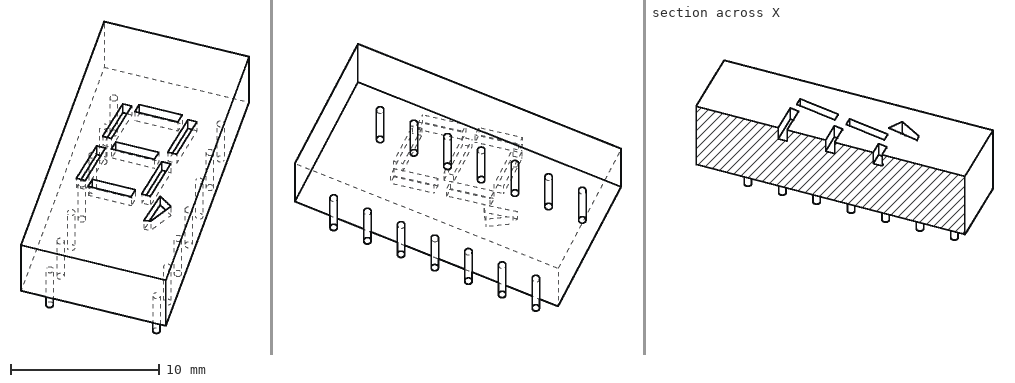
import cadquery as cq
import math

body_width = 10.2
body_length = 19.5
total_height = 9.2
pin_length = 4.0
body_height = total_height - pin_length

pin_diameter = 0.5
pins_per_row = 7
pin_pitch = 2.5
row_spacing = 7.5

slant = math.tan(math.radians(10))
recess_depth = 1.0
bar_length = 3.02
bar_height = 0.65
bar_spacing = 3.442
bar_center_y = 0.02
upright_width = 0.62
upright_height = 2.98
upright_center_x = 0.068
upright_center_y = 0.1
upright_offset_x = 2.291
upright_offset_y = 1.93

point_corners = [(2.71, -3.14), (3.65, -3.75), (2.71, -5.3), (2.25, -5.4)]


def recess(corners):
    """Prism that cuts a pocket with the given corners into the top face."""
    floor = cq.Workplane("XY").workplane(offset=body_height - recess_depth)
    return floor.polyline(corners).close().extrude(recess_depth)


def segment(x, y, width, height):
    """Slanted segment pocket; x is its centre before leaning."""
    corners = []
    for side_x, side_y in [(-1, -1), (1, -1), (1, 1), (-1, 1)]:
        corner_y = y + side_y * height / 2
        corner_x = x + side_x * width / 2 + corner_y * slant
        corners.append((corner_x, corner_y))
    return recess(corners)


result = cq.Workplane("XY").box(body_width, body_length, body_height, centered=(True, True, False))

pins = (
    cq.Workplane("XY")
    .rarray(row_spacing, pin_pitch, 2, pins_per_row)
    .circle(pin_diameter / 2)
    .extrude(-pin_length)
)
result = result.union(pins)

for level in (-1, 0, 1):
    bar_y = bar_center_y + level * bar_spacing
    result = result.cut(segment(0, bar_y, bar_length, bar_height))

for side in (-1, 1):
    for level in (-1, 1):
        upright_x = upright_center_x + side * upright_offset_x
        upright_y = upright_center_y + level * upright_offset_y
        result = result.cut(segment(upright_x, upright_y, upright_width, upright_height))

result = result.cut(recess(point_corners))